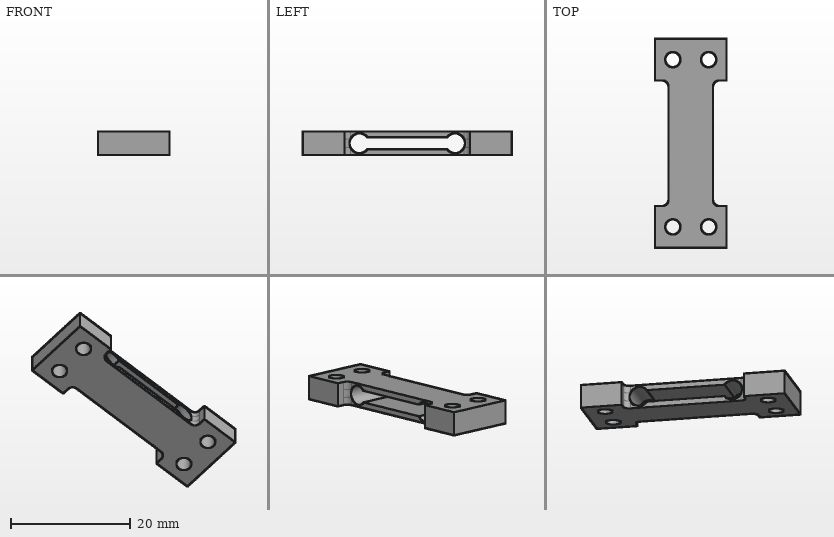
import cadquery as cq

width = 12.0
length = 35.0
thickness = 4.0

pad_length = 7.0
beam_width = 7.5
beam_length = length - 2 * pad_length
corner_radius = 1.0

hole_diameter = 2.5
hole_spacing_x = 6.0
hole_spacing_y = length - pad_length

bore_diameter = 3.3
bore_spacing = 16.0
slot_height = 2.0


def make_block():
    """Full-size block with mounting holes through both pads."""
    return (
        cq.Workplane("XY")
        .box(width, length, thickness, centered=(True, True, False))
        .faces(">Z")
        .workplane()
        .rarray(hole_spacing_x, hole_spacing_y, 2, 2)
        .hole(hole_diameter)
    )


def make_side_recess(side):
    """Square-cornered recess that narrows the beam on one side (side = +1 or -1)."""
    recess_depth = (width - beam_width) / 2
    return (
        cq.Workplane("XY")
        .center(side * width / 2, 0)
        .rect(2 * recess_depth, beam_length)
        .extrude(thickness)
    )


def make_flexure_window():
    """Dumbbell-shaped cutter running along X through the middle of the beam."""
    mid_plane = cq.Workplane("YZ", origin=(-width / 2, 0, thickness / 2))
    bores = mid_plane.rarray(bore_spacing, 1, 2, 1).circle(bore_diameter / 2).extrude(width)
    slot = mid_plane.rect(bore_spacing, slot_height).extrude(width)
    return bores.union(slot)


def round_beam_corners(body):
    """Fillet the four upright edges where the beam meets the pads."""
    corner_edges = cq.selectors.BoxSelector(
        (-beam_width / 2 - corner_radius, -beam_length / 2 - corner_radius, 0),
        (beam_width / 2 + corner_radius, beam_length / 2 + corner_radius, thickness),
    )
    return body.edges("|Z").edges(corner_edges).fillet(corner_radius)


result = make_block()
for side in (-1, 1):
    result = result.cut(make_side_recess(side))
result = result.cut(make_flexure_window())
result = round_beam_corners(result)